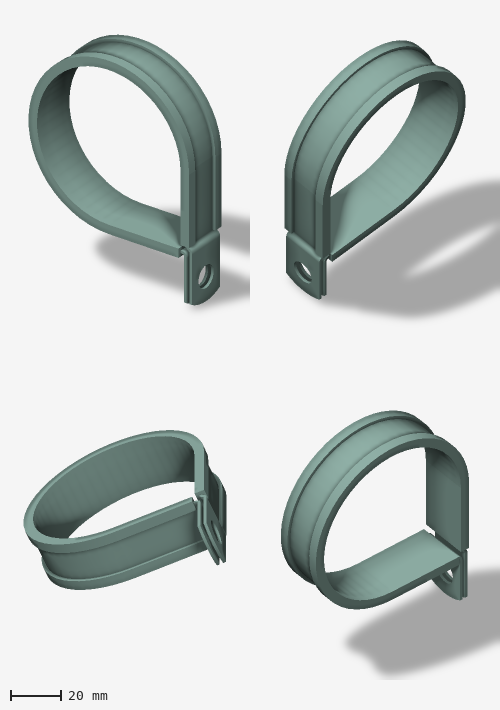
import math

import cadquery as cq

bore_radius = 35.0
rubber_wall = 1.5
band_thickness = 1.2
band_width = 19.1
lip_width = 4.2

cushion_upper_end_z = -33.1
cushion_lower_end_x = 34.0

tab_outer_x = 39.56
tab_gap = 1.5
tab_bottom_z = -61.89
tab_tip_radius = 20.0
hole_diameter = 10.3
hole_z = -50.75

bend_radius = 1.2
jog_angle = math.radians(50)
jog_lead = 0.2

band_inner_radius = bore_radius + rubber_wall
band_outer_radius = band_inner_radius + band_thickness
cushion_outer_radius = band_outer_radius + rubber_wall
cushion_width = band_width + 2 * rubber_wall
groove_width = cushion_width - 2 * lip_width
tab_inner_x = tab_outer_x - band_thickness
near_tab_outer_x = tab_inner_x - tab_gap
near_tab_inner_x = near_tab_outer_x - band_thickness
outer_bend_radius = bend_radius + band_thickness


def extrude_centred(profile, width):
    """Extrude an XZ profile symmetrically about the XZ plane."""
    return profile.extrude(width / 2, both=True)


def loop_strip(inner_radius, outer_radius, width):
    """Three-quarter loop with a straight run down on +X and a straight run out along the bottom."""
    diagonal = math.sqrt(0.5)
    profile = (
        cq.Workplane("XZ")
        .moveTo(outer_radius, cushion_upper_end_z)
        .lineTo(outer_radius, 0)
        .threePointArc((-outer_radius * diagonal, outer_radius * diagonal), (0, -outer_radius))
        .lineTo(cushion_lower_end_x, -outer_radius)
        .lineTo(cushion_lower_end_x, -inner_radius)
        .lineTo(0, -inner_radius)
        .threePointArc((-inner_radius * diagonal, inner_radius * diagonal), (inner_radius, 0))
        .lineTo(inner_radius, cushion_upper_end_z)
        .close()
    )
    return extrude_centred(profile, width)


def make_cushion():
    """Rubber channel that wraps the band, open along the middle of its outer face."""
    cushion = loop_strip(bore_radius, cushion_outer_radius, cushion_width)
    groove = loop_strip(band_outer_radius, cushion_outer_radius, groove_width)
    return cushion.cut(groove)


def arc_point(centre, radius, angle):
    """Point on a circle in the XZ plane, with the angle measured from +X towards +Z."""
    return centre[0] + radius * math.cos(angle), centre[1] + radius * math.sin(angle)


def make_far_tab():
    """Tab that jogs outward below the +X run of the band and then hangs straight down."""
    jog_offset = tab_outer_x - band_outer_radius
    bend_sum = bend_radius + outer_bend_radius
    bend_offset = bend_sum * (1 - math.cos(jog_angle))
    jog_height = bend_sum * math.sin(jog_angle) + (jog_offset - bend_offset) / math.tan(jog_angle)
    jog_top_z = cushion_upper_end_z - jog_lead
    jog_bottom_z = jog_top_z - jog_height

    upper_centre = (band_outer_radius + bend_radius, jog_top_z)
    lower_centre = (tab_inner_x - bend_radius, jog_bottom_z)
    profile = (
        cq.Workplane("XZ")
        .moveTo(band_outer_radius, cushion_upper_end_z)
        .lineTo(band_outer_radius, jog_top_z)
        .threePointArc(
            arc_point(upper_centre, bend_radius, math.pi + jog_angle / 2),
            arc_point(upper_centre, bend_radius, math.pi + jog_angle),
        )
        .lineTo(*arc_point(lower_centre, outer_bend_radius, jog_angle))
        .threePointArc(
            arc_point(lower_centre, outer_bend_radius, jog_angle / 2),
            (tab_outer_x, jog_bottom_z),
        )
        .lineTo(tab_outer_x, tab_bottom_z)
        .lineTo(tab_inner_x, tab_bottom_z)
        .lineTo(tab_inner_x, jog_bottom_z)
        .threePointArc(
            arc_point(lower_centre, bend_radius, jog_angle / 2),
            arc_point(lower_centre, bend_radius, jog_angle),
        )
        .lineTo(*arc_point(upper_centre, outer_bend_radius, math.pi + jog_angle))
        .threePointArc(
            arc_point(upper_centre, outer_bend_radius, math.pi + jog_angle / 2),
            (band_inner_radius, jog_top_z),
        )
        .lineTo(band_inner_radius, cushion_upper_end_z)
        .close()
    )
    return extrude_centred(profile, band_width)


def make_near_tab():
    """Tab that bends down from the end of the bottom run of the band."""
    centre = (near_tab_inner_x - bend_radius, -band_outer_radius - bend_radius)
    middle = math.radians(45)
    profile = (
        cq.Workplane("XZ")
        .moveTo(cushion_lower_end_x, -band_inner_radius)
        .lineTo(centre[0], -band_inner_radius)
        .threePointArc(arc_point(centre, outer_bend_radius, middle), (near_tab_outer_x, centre[1]))
        .lineTo(near_tab_outer_x, tab_bottom_z)
        .lineTo(near_tab_inner_x, tab_bottom_z)
        .lineTo(near_tab_inner_x, centre[1])
        .threePointArc(arc_point(centre, bend_radius, middle), (centre[0], -band_outer_radius))
        .lineTo(cushion_lower_end_x, -band_outer_radius)
        .close()
    )
    return extrude_centred(profile, band_width)


def along_x(sketch):
    """Extrude a YZ sketch through both tabs."""
    return sketch.extrude(tab_outer_x)


def finish_tabs(tabs):
    """Round the tab tips and drill the bolt hole through both tabs."""
    half_width = band_width / 2
    corner_z = tab_bottom_z + tab_tip_radius - math.sqrt(tab_tip_radius**2 - half_width**2)
    envelope = along_x(
        cq.Workplane("YZ")
        .moveTo(-half_width, 0)
        .lineTo(-half_width, corner_z)
        .threePointArc((0, tab_bottom_z), (half_width, corner_z))
        .lineTo(half_width, 0)
        .close()
    )
    hole = along_x(cq.Workplane("YZ").center(0, hole_z).circle(hole_diameter / 2))
    return tabs.intersect(envelope).cut(hole)


band_loop = loop_strip(band_inner_radius, band_outer_radius, band_width)
tabs = finish_tabs(make_far_tab().union(make_near_tab()))
result = make_cushion().union(band_loop).union(tabs)